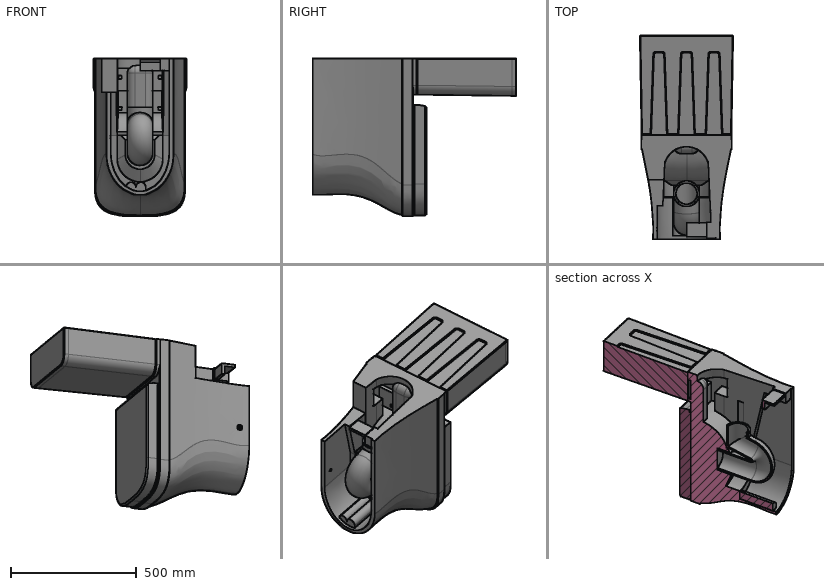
import cadquery as cq
import math


HULL_STATIONS = [
    (0.0, 134.0, 544.0, 381.5, 2.0),
    (114.0, 136.0, 541.5, 381.5, 2.0),
    (195.0, 146.0, 552.0, 390.0, 2.2),
    (292.0, 164.0, 597.5, 454.5, 2.6),
    (355.5, 177.0, 624.0, 499.0, 3.0),
]

FLANGE_FRONT = 355.5
FLANGE_REAR = 402.0
FLANGE_HALF = 180.0
FLANGE_DEPTH = 630.0
FLANGE_STRAIGHT = 503.0
FLANGE_SQUARENESS = 3.1
FLANGE_EDGE = 4.0

TOTAL_LENGTH = 812.0
SEAM_Y = 416.5
SEAM_HALF = 179.0
SEAM_DEPTH = 145.0
SLAB_CAP_Y = 793.0
SLAB_END_HALF = 186.0
SLAB_END_DEPTH = 150.0
SLAB_CORNER = 39.0
SEAM_CHAMFER = 2.85
SLAB_EDGE = 3.0

FLUTE_PITCH = 109.5
FLUTE_END = 747.0
FLUTE_END_HALF = 23.5
FLUTE_MOUTH_HALF = 35.0
FLUTE_CORNER = 11.0
FLUTE_DEPTH = 4.0
FLUTE_TAPER = 45

PAD_REAR = 454.0
PAD_FRONT = 407.0
PAD_HALF = 175.0
PAD_DEPTH = 627.0
PAD_TOP = 191.0
PAD_RIDGE = 185.0
PAD_RIDGE_Y = 422.0
PAD_EDGE = 6.5
PAD_INSET = 4.0

CAVITY_HALF = 117.0
CAVITY_DEPTH = 529.0
CAVITY_STRAIGHT = 373.0
CAVITY_REAR = 169.0
ROOF = 49.0
BLOCK_TOP_Y = 115.0
BLOCK_BOTTOM = 307.0
WELL_FRONT = 67.0
WELL_FRONT_HALF = 97.5
WELL_ARCH_Y = 301.0
WELL_ARCH_HALF = 87.0
WELL_REAR = 368.5
MOUTH_HALF = 81.0
CORNER_SETBACK = 5.0

POCKET_FRONT = 284.0
POCKET_HALF = 142.0
POCKET_ROOF = 40.5
POCKET_REAR = 394.0
LEDGE_DEPTH = 130.0
LEDGE_WIDTH = 16.0
SHELF_REAR = 343.0
SLOT_REAR = 235.5
FLOOR_POINTS = [(POCKET_REAR, -222.0), (316.5, -223.0), (260.0, -256.0), (SLOT_REAR, -292.0)]
BOLT_RADIUS = 7.7
BOLT_X = 79.5
BOLT_DEPTHS = (75.5, 200.0)
BOLT_END = 414.0

SLOT_HALF = 91.0
SLOT_BOTTOM = 492.0
SLOT_STRAIGHT = SLOT_BOTTOM - SLOT_HALF
BULGE_TOP = 292.0
BULGE_TIP_HALF = 58.5
BULGE_TIP_TOP = 325.0
BULGE_TIP_BOTTOM = 441.5
BULGE_LENGTH = 20.0

COLUMN_HALF = 50.0
COLUMN_FRONT = 341.0
COLUMN_TOP = 28.5
COLUMN_ROUND = 30.0

SCREW_Y = 40.5
SCREW_DEPTH = 313.0
SCREW_HEAD_RADIUS = 12.0
SCREW_RADIUS = 6.0

CUT_REAR = 236.0
CUT_DEPTH = 135.0

PIPE_RADIUS = 51.0
BORE_RADIUS = 42.0
BEND_RADIUS = 53.0
PIPE_FRONT = 16.0
PIPE_LOW_CENTRE = 376.0
PIPE_SLOPE = 10.0
PIPE_INNER_END = 276.0
COLLAR_Y = 182.0
COLLAR_TOP = 195.0

HOSE_RADIUS = 19.5
HOSE_CENTRES = (-36.0, 3.0)
HOSE_TOP = 493.5
HOSE_FRONT = 14.0

BRACKET_FRONT = 10.0
BRACKET_REAR = 66.0
BRACKET_TOP = 5.0
BRACKET_PLATE = 11.0
BRACKET_LEG = 13.0
BRACKET_BOTTOM = 49.5

QUARTER_STEPS = 6
ROUND = 2.0
OVERSHOOT = 8.0
REACH = 487.0


def box(x0, x1, y0, y1, z0, z1):
    return cq.Workplane("XY").box(x1 - x0, y1 - y0, z1 - z0, centered=False).translate((x0, y0, z0))


def across_plane(y):
    """Plane across the part at y: X to the right, Z up, extrusions toward +Y are negative."""
    return cq.Workplane("XZ", origin=(0, y, 0))


def u_wire(y, half, depth, straight, squareness, top=0.0):
    """Closed U outline at y: straight sides over a superellipse bottom."""
    rise = depth - straight
    quarter = []
    for step in range(QUARTER_STEPS + 1):
        angle = math.pi / 2 * step / QUARTER_STEPS
        x = half * math.cos(angle) ** (2 / squareness)
        z = -straight - rise * math.sin(angle) ** (2 / squareness)
        quarter.append((x, z))
    quarter[-1] = (0, -depth)
    down = cq.Vector(0, 0, -1)
    edges = []
    for side in (1, -1):
        points = [cq.Vector(side * x, y, z) for x, z in quarter]
        edges.append(cq.Edge.makeSpline(points, tangents=[down, cq.Vector(-side, 0, 0)]))
        edges.append(cq.Edge.makeLine(points[0], cq.Vector(side * half, y, -top)))
    edges.append(cq.Edge.makeLine(cq.Vector(half, y, -top), cq.Vector(-half, y, -top)))
    return cq.Wire.assembleEdges(edges)


def u_prism(y0, y1, half, depth, straight, squareness, top=0.0):
    wire = u_wire(y0, half, depth, straight, squareness, top)
    return cq.Workplane(cq.Solid.extrudeLinear(wire, [], cq.Vector(0, y1 - y0, 0)))


def tongue_wire(y, half, depth):
    """Rectangle hanging from the top with its two lower corners rounded."""
    return (
        across_plane(y)
        .moveTo(-half, 0)
        .lineTo(half, 0)
        .lineTo(half, SLAB_CORNER - depth)
        .radiusArc((half - SLAB_CORNER, -depth), SLAB_CORNER)
        .lineTo(SLAB_CORNER - half, -depth)
        .radiusArc((-half, SLAB_CORNER - depth), SLAB_CORNER)
        .close()
        .val()
    )


def make_outer():
    sections = [u_wire(*station) for station in HULL_STATIONS]
    hull = cq.Workplane(cq.Solid.makeLoft(sections))
    flange = u_prism(
        FLANGE_FRONT,
        FLANGE_REAR,
        FLANGE_HALF,
        FLANGE_DEPTH,
        FLANGE_STRAIGHT,
        FLANGE_SQUARENESS,
        -OVERSHOOT,
    )
    flange = flange.faces("<Y or >Y").edges().chamfer(FLANGE_EDGE)
    flange = flange.cut(box(-REACH, REACH, 0, REACH, 0, REACH))
    neck_wires = [
        tongue_wire(FLANGE_REAR - OVERSHOOT, SEAM_HALF, SEAM_DEPTH),
        tongue_wire(SEAM_Y, SEAM_HALF, SEAM_DEPTH),
    ]
    neck = cq.Workplane(cq.Solid.makeLoft(neck_wires, True))
    neck = neck.faces(">Y").edges().chamfer(SEAM_CHAMFER)
    return hull.union(flange).union(neck)


def make_front_cavity():
    """U-shaped hollow, cut back at the rear by the sloping faces of the side blocks."""
    cavity = u_prism(-OVERSHOOT, CAVITY_REAR, CAVITY_HALF, CAVITY_DEPTH, CAVITY_STRAIGHT, ROUND, ROOF)
    blocks = (
        cq.Workplane("YZ")
        .polyline([(BLOCK_TOP_Y, -ROOF), (CAVITY_REAR, -ROOF), (CAVITY_REAR, -BLOCK_BOTTOM)])
        .close()
        .extrude(REACH, both=True)
    )
    return cavity.cut(blocks)


def above_floor():
    """Everything above the curved floor that falls from the pocket to the slot."""
    return (
        cq.Workplane("YZ")
        .moveTo(REACH, OVERSHOOT)
        .lineTo(REACH, FLOOR_POINTS[0][1])
        .lineTo(*FLOOR_POINTS[0])
        .spline(FLOOR_POINTS[1:], includeCurrent=True)
        .lineTo(0, FLOOR_POINTS[-1][1])
        .lineTo(0, OVERSHOOT)
        .close()
        .extrude(REACH, both=True)
    )


def make_well():
    return (
        cq.Workplane("XY", origin=(0, 0, OVERSHOOT))
        .moveTo(WELL_FRONT_HALF, WELL_FRONT)
        .lineTo(WELL_ARCH_HALF, WELL_ARCH_Y)
        .threePointArc((0, WELL_REAR), (-WELL_ARCH_HALF, WELL_ARCH_Y))
        .lineTo(-WELL_FRONT_HALF, WELL_FRONT)
        .close()
        .extrude(-REACH)
    )


def make_pocket():
    """Wide space under the roof, narrower beside the shelves, with a ledge on its rear wall."""
    lower = box(-WELL_ARCH_HALF, WELL_ARCH_HALF, POCKET_FRONT, POCKET_REAR, -REACH, -POCKET_ROOF)
    upper_rear = POCKET_REAR + LEDGE_WIDTH
    upper = box(-POCKET_HALF, POCKET_HALF, POCKET_FRONT, upper_rear, -LEDGE_DEPTH, -POCKET_ROOF)
    behind_shelf = box(-POCKET_HALF, POCKET_HALF, SHELF_REAR, POCKET_REAR, -REACH, -POCKET_ROOF)
    return lower.union(upper).union(behind_shelf)


def make_column():
    column = box(-COLUMN_HALF, COLUMN_HALF, COLUMN_FRONT, FLANGE_REAR, -BLOCK_BOTTOM, -COLUMN_TOP)
    return column.edges("(<Y and |Z) or (>Z and (not >Y))").fillet(COLUMN_ROUND)


def make_slot():
    return u_prism(CAVITY_REAR, SLOT_REAR, SLOT_HALF, SLOT_BOTTOM, SLOT_STRAIGHT, ROUND, LEDGE_DEPTH)


def make_bulge():
    tip_straight = BULGE_TIP_BOTTOM - BULGE_TIP_HALF
    tip_y = SLOT_REAR - BULGE_LENGTH
    base = u_wire(SLOT_REAR, SLOT_HALF, SLOT_BOTTOM, SLOT_STRAIGHT, ROUND, BULGE_TOP)
    tip = u_wire(tip_y, BULGE_TIP_HALF, BULGE_TIP_BOTTOM, tip_straight, ROUND, BULGE_TIP_TOP)
    return cq.Workplane(cq.Solid.makeLoft([base, tip], True))


def make_bolt_holes():
    places = [(x, -depth) for x in (-BOLT_X, BOLT_X) for depth in BOLT_DEPTHS]
    holes = across_plane(POCKET_REAR).pushPoints(places).circle(BOLT_RADIUS)
    return holes.extrude(POCKET_REAR - BOLT_END)


def make_screw_hole():
    outside = HULL_STATIONS[0][1]
    axis = (-outside, SCREW_Y, -SCREW_DEPTH)
    inward = cq.Vector(1, 0, 0)
    head_depth = SCREW_HEAD_RADIUS - SCREW_RADIUS
    length = outside - CAVITY_HALF + OVERSHOOT
    shank = cq.Solid.makeCylinder(SCREW_RADIUS, length, cq.Vector(*axis), inward)
    head = cq.Solid.makeCone(SCREW_HEAD_RADIUS, SCREW_RADIUS, head_depth, cq.Vector(*axis), inward)
    return cq.Workplane(shank).union(cq.Workplane(head))


def make_housing(cavity, pipe_envelope):
    front_mouth = box(-MOUTH_HALF, MOUTH_HALF, -OVERSHOOT, WELL_FRONT, -ROOF, OVERSHOOT)
    corner_relief = box(-CAVITY_HALF, CAVITY_HALF, -OVERSHOOT, CORNER_SETBACK, -ROOF, OVERSHOOT)
    left_corner = box(-REACH, 0, -OVERSHOOT, CUT_REAR, -CUT_DEPTH, OVERSHOOT)
    open_space = make_well().union(make_pocket()).intersect(above_floor())
    housing = make_outer()
    for hollow in (cavity, make_slot(), open_space, front_mouth, corner_relief, make_bolt_holes()):
        housing = housing.cut(hollow)
    housing = housing.union(make_column()).union(make_bulge())
    for removal in (pipe_envelope, left_corner, make_screw_hole()):
        housing = housing.cut(removal)
    return housing


def make_flute(x):
    return (
        cq.Workplane("XY", origin=(x, 0, 0))
        .moveTo(-FLUTE_MOUTH_HALF, SEAM_Y - OVERSHOOT)
        .lineTo(FLUTE_MOUTH_HALF, SEAM_Y - OVERSHOOT)
        .lineTo(FLUTE_END_HALF, FLUTE_END - FLUTE_CORNER)
        .radiusArc((FLUTE_END_HALF - FLUTE_CORNER, FLUTE_END), -FLUTE_CORNER)
        .lineTo(FLUTE_CORNER - FLUTE_END_HALF, FLUTE_END)
        .radiusArc((-FLUTE_END_HALF, FLUTE_END - FLUTE_CORNER), -FLUTE_CORNER)
        .close()
        .extrude(-FLUTE_DEPTH, taper=FLUTE_TAPER)
    )


def make_slab():
    """Slab that widens and deepens from the seam to a straight cap at its far end."""
    wires = [
        tongue_wire(SEAM_Y, SEAM_HALF, SEAM_DEPTH),
        tongue_wire(SLAB_CAP_Y, SLAB_END_HALF, SLAB_END_DEPTH),
        tongue_wire(TOTAL_LENGTH, SLAB_END_HALF, SLAB_END_DEPTH),
    ]
    slab = cq.Workplane(cq.Solid.makeLoft(wires, True))
    slab = slab.faces("<Y or >Y or >Z").edges().chamfer(SLAB_EDGE)
    for column in (-1, 0, 1):
        slab = slab.cut(make_flute(column * FLUTE_PITCH))
    return slab


def make_pad():
    straight = PAD_DEPTH - FLANGE_DEPTH + FLANGE_STRAIGHT
    main = u_prism(
        PAD_FRONT, PAD_REAR, PAD_HALF, PAD_DEPTH, straight, FLANGE_SQUARENESS, PAD_RIDGE
    )
    slope = (
        cq.Workplane("YZ")
        .polyline([(PAD_RIDGE_Y, -PAD_RIDGE), (PAD_REAR, -PAD_RIDGE), (PAD_REAR, -PAD_TOP)])
        .close()
        .extrude(REACH, both=True)
    )
    main = main.cut(slope)
    main = main.faces(">Y").edges().chamfer(PAD_EDGE)
    neck = u_prism(
        FLANGE_REAR,
        PAD_FRONT,
        PAD_HALF - PAD_INSET,
        PAD_DEPTH - PAD_INSET,
        straight,
        FLANGE_SQUARENESS,
        PAD_TOP + PAD_INSET,
    )
    return main.union(neck)


def make_pipe_shape(radius):
    """Solid of the given radius along the pipe's centre line: forward, round the bend, back, up."""
    slope = math.radians(PIPE_SLOPE)
    bend_y = PIPE_FRONT + PIPE_RADIUS + BEND_RADIUS
    bend_z = BEND_RADIUS - PIPE_LOW_CENTRE
    bend_end_y = bend_y - BEND_RADIUS * math.sin(slope)
    bend_end_z = bend_z + BEND_RADIUS * math.cos(slope)
    joint_z = bend_end_z + (COLLAR_Y - bend_end_y) * math.tan(slope)
    path = (
        cq.Workplane("YZ")
        .moveTo(PIPE_INNER_END, -PIPE_LOW_CENTRE)
        .lineTo(bend_y, -PIPE_LOW_CENTRE)
        .threePointArc((bend_y - BEND_RADIUS, bend_z), (bend_end_y, bend_end_z))
        .lineTo(COLLAR_Y, joint_z)
        .lineTo(COLLAR_Y, -COLLAR_TOP)
    )
    profile = across_plane(PIPE_INNER_END).center(0, -PIPE_LOW_CENTRE).circle(radius)
    return profile.sweep(path, transition="right")


def make_hose(cavity):
    centre_z = -HOSE_TOP - HOSE_RADIUS
    hose = None
    for x in HOSE_CENTRES:
        tube = across_plane(HOSE_FRONT).center(x, centre_z).circle(HOSE_RADIUS)
        tube = tube.extrude(HOSE_FRONT - CAVITY_REAR)
        foot = box(x - HOSE_RADIUS, x + HOSE_RADIUS, HOSE_FRONT, CAVITY_REAR, -CAVITY_DEPTH, centre_z)
        lobe = tube.union(foot)
        hose = lobe if hose is None else hose.union(lobe)
    return hose.intersect(cavity)


def make_bracket():
    plate_bottom = -BRACKET_TOP - BRACKET_PLATE
    plate = box(0, MOUTH_HALF, BRACKET_FRONT, BRACKET_REAR, plate_bottom, -BRACKET_TOP)
    leg = box(0, MOUTH_HALF, BRACKET_REAR - BRACKET_LEG, BRACKET_REAR, -BRACKET_BOTTOM, plate_bottom)
    return plate.union(leg)


front_cavity = make_front_cavity()
pipe_envelope = make_pipe_shape(PIPE_RADIUS)

housing = make_housing(front_cavity, pipe_envelope)
slab = make_slab()
pad = make_pad()
pipe = pipe_envelope.cut(make_pipe_shape(BORE_RADIUS))
hose = make_hose(front_cavity)
bracket = make_bracket()

bodies = [housing, slab, pad, pipe, hose, bracket]
result = cq.Compound.makeCompound([body.solids().val() for body in bodies])